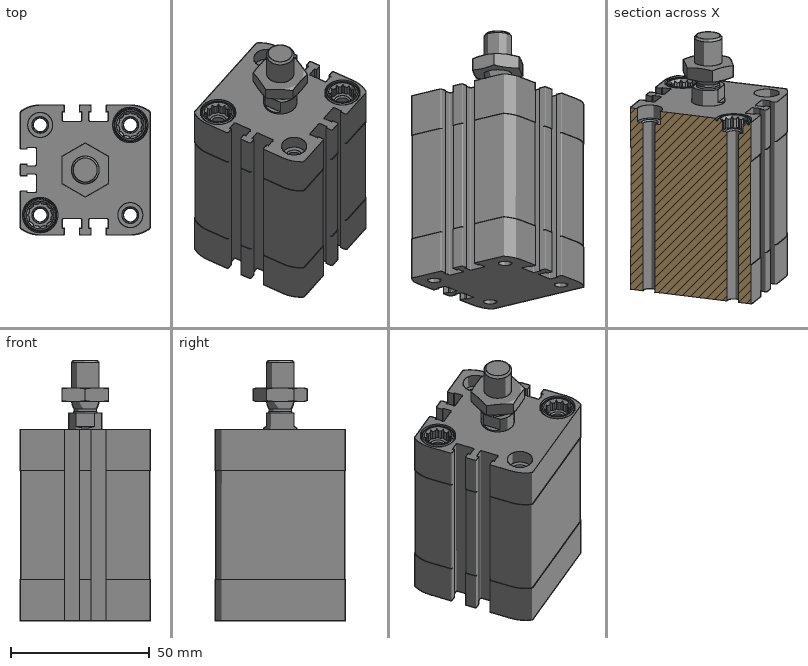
import cadquery as cq
import math


WIDTH = 47.0
HALF = WIDTH / 2
HOUSING_HEIGHT = 69.1
CAP_HEIGHT = 14.9
TUBE_INSET = 0.2
HOLE_OFFSET = 16.3
CROWN_RADIUS = 12.0
CORNER_FILLET = 1.0

MOUTH_NEAR = 2.2
MOUTH_FAR = 7.5
LIP_DEPTH = 2.5
LIP_FILLET = 0.5
WIDE_CHAMBER = (1.3, 8.3, 5.9)
NARROW_CHAMBER = (1.5, 8.1, 5.8)
FLOOR_FILLET = 0.4

THROUGH_DIAMETER = 4.9
HOLE_COUNTERSINK_DIAMETER = 6.0
COUNTERBORE_DIAMETER = 9.0
COUNTERBORE_DEPTH = 5.0

COLLAR_RECESS_DIAMETER = 12.8
COLLAR_RECESS_DEPTH = 1.0
COLLAR_DIAMETER = 11.9
COLLAR_TOP_DIAMETER = 11.1
COLLAR_CHAMFER_HEIGHT = 0.5
SOCKET_MOUTH_DIAMETER = 10.0
SOCKET_DIAMETER = 8.2
SOCKET_MOUTH_DEPTH = 1.2
SOCKET_POINT_DIAMETER = 9.2
SOCKET_DEPTH = 4.6
SQUARES_PER_SOCKET = 3

TOP = 94.0
ROD_DIAMETER = 12.0
ROD_LENGTH_IN_HOUSING = CAP_HEIGHT
SHOULDER_Z = 75.0
FLATS_WIDTH = 10.1
FLATS_BOTTOM_Z = HOUSING_HEIGHT + 1.0
FLATS_RUNOUT_ANGLE = 30.0
GROOVE_DIAMETER = 8.2
GROOVE_FOOT_DIAMETER = 8.65
GROOVE_BOTTOM_Z = 75.6
GROOVE_TOP_Z = 76.4
RUNOUT_TOP_Z = 79.9
THREAD_DIAMETER = 10.1
THREAD_CHAMFER_LENGTH = 0.8
THREAD_TIP_DIAMETER = 8.65

NUT_ACROSS_FLATS = 16.9
NUT_HEIGHT = 5.0
NUT_BOTTOM_Z = 79.1
NUT_CHAMFER_DROP = 0.4


def outline(inset):
    """Square with straight left and right sides and crowned corners, moved inwards by `inset`."""
    side = HALF - inset
    radius = CROWN_RADIUS - inset
    centre_y = HALF - CROWN_RADIUS
    reach = side - HOLE_OFFSET
    end_y = centre_y + math.sqrt(radius**2 - reach**2)
    half_angle = math.asin(reach / radius) / 2
    mid_x = HOLE_OFFSET + radius * math.sin(half_angle)
    mid_y = centre_y + radius * math.cos(half_angle)
    return (
        cq.Workplane("XY")
        .moveTo(-HOLE_OFFSET, side)
        .lineTo(HOLE_OFFSET, side)
        .threePointArc((mid_x, mid_y), (side, end_y))
        .lineTo(side, -end_y)
        .threePointArc((mid_x, -mid_y), (HOLE_OFFSET, -side))
        .lineTo(-HOLE_OFFSET, -side)
        .threePointArc((-mid_x, -mid_y), (-side, -end_y))
        .lineTo(-side, end_y)
        .threePointArc((-mid_x, mid_y), (-HOLE_OFFSET, side))
        .close()
    )


def slot_pair(chamber, height):
    """The two T-slots of the back (+Y) side."""
    near, far, depth = chamber
    slots = cq.Workplane("XY")
    for sign in (-1, 1):
        slots = slots.union(
            cq.Workplane("XY")
            .polyline(
                [
                    (sign * MOUTH_NEAR, HALF),
                    (sign * MOUTH_NEAR, HALF - LIP_DEPTH),
                    (sign * near, HALF - LIP_DEPTH),
                    (sign * near, HALF - depth),
                    (sign * far, HALF - depth),
                    (sign * far, HALF - LIP_DEPTH),
                    (sign * MOUTH_FAR, HALF - LIP_DEPTH),
                    (sign * MOUTH_FAR, HALF),
                ]
            )
            .close()
            .extrude(height)
        )
    return slots


def upright_edges_at(body, points):
    """Vertical edges of `body` through the given (x, y) points."""
    tolerance = 0.01

    def is_wanted(edge):
        middle = edge.Center()
        return any(math.hypot(middle.x - x, middle.y - y) < tolerance for x, y in points)

    return body.edges("|Z").filter(is_wanted)


def housing_section(inset, height):
    """A length of the slotted housing profile, standing on Z = 0."""
    side = HALF - inset
    body = outline(inset).extrude(height)
    body = body.edges("|Z").edges("<X or >X").fillet(CORNER_FILLET)

    wide_slots = slot_pair(WIDE_CHAMBER, height)
    narrow_slots = slot_pair(NARROW_CHAMBER, height)
    body = body.cut(wide_slots)
    body = body.cut(wide_slots.mirror("XZ"))
    body = body.cut(narrow_slots.rotate((0, 0, 0), (0, 0, 1), 90))

    mouths = [sign * across for sign in (-1, 1) for across in (MOUTH_NEAR, MOUTH_FAR)]
    lips = [(across, side) for across in mouths]
    lips += [(across, -side) for across in mouths]
    lips += [(-side, across) for across in mouths]
    body = upright_edges_at(body, lips).fillet(LIP_FILLET)

    wide_near, wide_far, wide_depth = WIDE_CHAMBER
    narrow_near, narrow_far, narrow_depth = NARROW_CHAMBER
    wide_walls = (-wide_far, -wide_near, wide_near, wide_far)
    narrow_walls = (-narrow_far, -narrow_near, narrow_near, narrow_far)
    floor_corners = [(across, HALF - wide_depth) for across in wide_walls]
    floor_corners += [(across, wide_depth - HALF) for across in wide_walls]
    floor_corners += [(narrow_depth - HALF, across) for across in narrow_walls]
    return upright_edges_at(body, floor_corners).fillet(FLOOR_FILLET)


def cylinder(diameter, bottom, top):
    return cq.Workplane("XY").workplane(offset=bottom).circle(diameter / 2).extrude(top - bottom)


def cone(bottom_diameter, bottom, top_diameter, top):
    return cq.Workplane(
        cq.Solid.makeCone(bottom_diameter / 2, top_diameter / 2, top - bottom, cq.Vector(0, 0, bottom))
    )


def through_hole(seat_z):
    """Hole from the underside of the housing up to `seat_z`, countersunk there."""
    countersink_depth = (HOLE_COUNTERSINK_DIAMETER - THROUGH_DIAMETER) / 2
    countersink = cone(THROUGH_DIAMETER, seat_z - countersink_depth, HOLE_COUNTERSINK_DIAMETER, seat_z)
    return cylinder(THROUGH_DIAMETER, 0, seat_z).union(countersink)


def counterbored_hole():
    seat_z = HOUSING_HEIGHT - COUNTERBORE_DEPTH
    return through_hole(seat_z).union(cylinder(COUNTERBORE_DIAMETER, seat_z, HOUSING_HEIGHT))


def collar_surround():
    """Material removed around a collar head, whose top is level with the housing."""
    recess_floor = HOUSING_HEIGHT - COLLAR_RECESS_DEPTH
    chamfer_bottom = HOUSING_HEIGHT - COLLAR_CHAMFER_HEIGHT
    collar = cylinder(COLLAR_DIAMETER, recess_floor, chamfer_bottom)
    collar = collar.union(cone(COLLAR_DIAMETER, chamfer_bottom, COLLAR_TOP_DIAMETER, HOUSING_HEIGHT))
    return cylinder(COLLAR_RECESS_DIAMETER, recess_floor, HOUSING_HEIGHT).cut(collar)


def collar_socket():
    """Twelve-point socket with a conical mouth, down to its countersunk through hole."""
    floor_z = HOUSING_HEIGHT - SOCKET_DEPTH
    mouth_bottom = HOUSING_HEIGHT - SOCKET_MOUTH_DEPTH
    socket = through_hole(floor_z).union(cylinder(SOCKET_DIAMETER, floor_z, HOUSING_HEIGHT))
    square_side = SOCKET_POINT_DIAMETER / math.sqrt(2)
    for index in range(SQUARES_PER_SOCKET):
        square = (
            cq.Workplane("XY")
            .workplane(offset=floor_z)
            .rect(square_side, square_side)
            .extrude(SOCKET_DEPTH)
            .rotate((0, 0, 0), (0, 0, 1), 45 + index * 90 / SQUARES_PER_SOCKET)
        )
        socket = socket.union(square)
    return socket.union(cone(SOCKET_DIAMETER, mouth_bottom, SOCKET_MOUTH_DIAMETER, HOUSING_HEIGHT))


def make_housing():
    tube_height = HOUSING_HEIGHT - 2 * CAP_HEIGHT
    cap = housing_section(0, CAP_HEIGHT)
    tube = housing_section(TUBE_INSET, tube_height).translate((0, 0, CAP_HEIGHT))
    body = cap.union(tube).union(cap.translate((0, 0, CAP_HEIGHT + tube_height)))

    plain_hole = counterbored_hole()
    surround = collar_surround()
    socket = collar_socket()
    for sign in (-1, 1):
        plain_place = (sign * HOLE_OFFSET, -sign * HOLE_OFFSET, 0)
        collar_place = (sign * HOLE_OFFSET, sign * HOLE_OFFSET, 0)
        body = body.cut(plain_hole.translate(plain_place))
        body = body.cut(surround.translate(collar_place))
        body = body.cut(socket.translate(collar_place))

    return body.cut(cylinder(ROD_DIAMETER, HOUSING_HEIGHT - ROD_LENGTH_IN_HOUSING, HOUSING_HEIGHT))


def make_rod():
    rod_radius = ROD_DIAMETER / 2
    groove_radius = GROOVE_DIAMETER / 2
    thread_radius = THREAD_DIAMETER / 2

    rise = RUNOUT_TOP_Z - GROOVE_TOP_Z
    step = thread_radius - groove_radius
    runout_radius = (rise**2 + step**2) / (2 * step)
    half_angle = math.asin(rise / runout_radius) / 2
    runout_middle = (
        thread_radius - runout_radius * (1 - math.cos(half_angle)),
        RUNOUT_TOP_Z - runout_radius * math.sin(half_angle),
    )

    rod = (
        cq.Workplane("XZ")
        .moveTo(0, HOUSING_HEIGHT - ROD_LENGTH_IN_HOUSING)
        .lineTo(rod_radius, HOUSING_HEIGHT - ROD_LENGTH_IN_HOUSING)
        .lineTo(rod_radius, SHOULDER_Z)
        .lineTo(GROOVE_FOOT_DIAMETER / 2, SHOULDER_Z)
        .lineTo(groove_radius, GROOVE_BOTTOM_Z)
        .lineTo(groove_radius, GROOVE_TOP_Z)
        .threePointArc(runout_middle, (thread_radius, RUNOUT_TOP_Z))
        .lineTo(thread_radius, TOP - THREAD_CHAMFER_LENGTH)
        .lineTo(THREAD_TIP_DIAMETER / 2, TOP)
        .lineTo(0, TOP)
        .close()
        .revolve(360, (0, 0, 0), (0, 1, 0))
    )

    flat_y = FLATS_WIDTH / 2
    slope_drop = (rod_radius - flat_y) * math.tan(math.radians(FLATS_RUNOUT_ANGLE))
    flat = (
        cq.Workplane("YZ")
        .polyline(
            [
                (flat_y, SHOULDER_Z),
                (flat_y, FLATS_BOTTOM_Z),
                (rod_radius, FLATS_BOTTOM_Z - slope_drop),
                (rod_radius, SHOULDER_Z),
            ]
        )
        .close()
        .extrude(rod_radius, both=True)
    )
    return rod.cut(flat).cut(flat.mirror("XZ"))


def make_nut():
    corner_radius = NUT_ACROSS_FLATS / math.sqrt(3)
    face_radius = NUT_ACROSS_FLATS / 2
    nut = (
        cq.Workplane("XY")
        .polygon(6, 2 * corner_radius)
        .extrude(NUT_HEIGHT)
        .rotate((0, 0, 0), (0, 0, 1), 90)
    )
    chamfered_blank = (
        cq.Workplane("XZ")
        .polyline(
            [
                (0, 0),
                (face_radius, 0),
                (corner_radius, NUT_CHAMFER_DROP),
                (corner_radius, NUT_HEIGHT - NUT_CHAMFER_DROP),
                (face_radius, NUT_HEIGHT),
                (0, NUT_HEIGHT),
            ]
        )
        .close()
        .revolve(360, (0, 0, 0), (0, 1, 0))
    )
    nut = nut.intersect(chamfered_blank)
    nut = nut.cut(cylinder(THREAD_DIAMETER, 0, NUT_HEIGHT))
    return nut.translate((0, 0, NUT_BOTTOM_Z))


housing = make_housing()
rod = make_rod()
nut = make_nut()

result = cq.Compound.makeCompound([housing.val(), rod.val(), nut.val()])